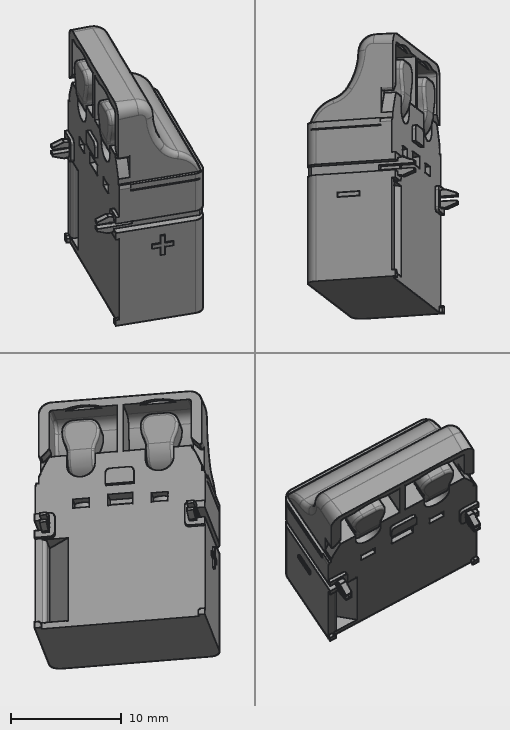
import cadquery as cq
import math

cut_overlap = 0.23
cut_tolerance = 0.0001

total_height = 22.8
depth = 8.16
half_width = 7.8
body_top = 14.73
back_radius = 1.0

hood_half_width = 7.48
hood_wall = 0.82
hood_front_rounding = 1.2
hood_base_rounding = 0.32
crown_radius = 1.62
crown_depth = 3.49
waist = (4.42, 18.0)
shoulder_start = (5.75, 16.96)
hood_base_depth = 7.85

cavity_half_width = 6.5
cavity_corner_radius = 0.3
inner_crown = 0.98
inner_waist = (3.75, 17.75)
cavity_floor_depth = 4.05
plate_top = 17.3
scallop_offset = 3.4
scallop_half_width = 1.65
scallop_height = 0.27
scallop_depth = 0.35
plate_thickness = 1.1
plate_arc_end = 14.39
plate_arc_middle = (-7.1, 16.19)
rib_width = 0.55
frame_bottom = 17.33
frame_arc_end = 18.13
frame_side_bottom = 17.55
frame_corner_middle = (-7.4, 17.4)
frame_arc_side = 7.25
frame_arc_middle = (-6.9, 17.65)
seam_height = 14.05
seam_width = 0.07
seam_depth = 0.11

cup_spacing = 7.2
cup_stem_radius = 1.25
cup_head_half_width = 1.73
cup_arc_center = 16.35
cup_stem_top = 17.53
cup_flare_half_width = 1.57
cup_flare_height = 18.7
cup_head_widest = 19.75
cup_top = 20.8
cup_front = -0.23
cup_back = 1.82
cup_edge_radius = 0.27
cup_bend_start = 17.74
cup_bend_radius = 2.85
cup_slot_depth = 1.37
cup_slot_clearance = 0.05

pad_height = 0.32
center_pad_half_width = 1.3
center_pad_bottom = 13.95
center_pad_top = 15.5
pad_corner_radius = 0.4
side_pad_width = 1.85
side_pad_bottom = 9.12
side_pad_top = 11.5
foot_size = 0.62
foot_chamfer = 0.2

window_bottom = 11.95
barrel_window_width = 1.5
barrel_window_top = 12.84
barrel_axis_depth = 2.05
barrel_radius = 1.28
barrel_neck_radius = 1.2
barrel_step = 12.27
latch_window_width = 2.25
latch_window_top = 13.05
latch_depth = 1.15
latch_edge = 12.56
latch_slope_depth = 1.6

groove_bottom = 9.83
groove_top = 10.8
groove_floor = 7.05
groove_bevel_start = 7.8
groove_bevel = depth - groove_bevel_start
pin_width = 0.62
pin_tip = -1.85
pin_barb = -0.8
pin_center = (groove_bottom + groove_top) / 2
pin_root_half = 0.78
pin_barb_half = 0.87
pin_tip_half = 0.48
pin_slot_half = 0.23
pin_slot_end = 1.45
pin_slot_radius = 0.11

relief_lip = 0.39
relief_valley = -6.77
relief_right = -4.77
relief_bottom = 0.62
relief_top = 8.98
relief_depth = 1.78

mark_height = (15.9 - 2 * half_width) / 2
mark_length = 2.03
mark_width = 0.4
mark_depth = 4.05
mark_level = 7.85


def block(x0, x1, y0, y1, z0, z1):
    return cq.Workplane("XY").box(x1 - x0, y1 - y0, z1 - z0, centered=False).translate((x0, y0, z0))


def front_sketch(y):
    """Workplane facing -Y at depth y: local x is X, local y is Z."""
    return cq.Workplane(cq.Plane(origin=(0, y, 0), xDir=(1, 0, 0), normal=(0, -1, 0)))


def side_sketch(x):
    """Workplane facing +X at the given x: local x is Y, local y is Z."""
    return cq.Workplane("YZ", origin=(x, 0, 0))


def both_sides(shape):
    return shape.union(shape.mirror("YZ"))


def hood_curve(x):
    """S-shaped line from the top front of the hood down its back, at the given x."""
    crown_center = (crown_depth - crown_radius, total_height - crown_radius)
    diagonal = crown_radius * math.sqrt(0.5)
    crown_middle = (crown_center[0] + diagonal, crown_center[1] + diagonal)
    return (
        side_sketch(x)
        .moveTo(0, total_height)
        .lineTo(crown_center[0], total_height)
        .threePointArc(crown_middle, (crown_depth, crown_center[1]))
        .tangentArcPoint(waist, relative=False)
        .tangentArcPoint(shoulder_start, relative=False)
        .tangentArcPoint((hood_base_depth, body_top), relative=False)
    )


def edge_waste(path, place, radius):
    """Wire around the material outside a rounded corner, square to the path at place 0 or 1."""
    middle = radius * (1 - math.sqrt(0.5))
    plane = cq.Plane(origin=path.positionAt(place), xDir=(1, 0, 0), normal=path.tangentAt(place))
    section = (
        cq.Workplane(plane)
        .moveTo(radius, 0)
        .threePointArc((middle, middle), (0, radius))
        .lineTo(-cut_overlap, radius)
        .lineTo(-cut_overlap, -cut_overlap)
        .lineTo(radius, -cut_overlap)
        .close()
    )
    return section.wire().val()


def hood_edge_cut():
    """Tapered rounding of the hood's -X edge, from wide at the front to narrow at the base."""
    curve = hood_curve(-hood_half_width).wire().val()
    start = curve.positionAt(0)
    lead_in = cq.Edge.makeLine(start - cq.Vector(0, cut_overlap, 0), start)
    path = cq.Wire.assembleEdges([lead_in] + curve.Edges())
    sections = [edge_waste(path, 0, hood_front_rounding), edge_waste(path, 1, hood_base_rounding)]
    return cq.Workplane(obj=cq.Solid.sweep_multi(sections, path))


def make_hood():
    outline = hood_curve(-hood_half_width).lineTo(0, body_top).close()
    hood = outline.extrude(2 * hood_half_width)
    edge_cut = hood_edge_cut()
    hood = hood.cut(edge_cut, tol=cut_tolerance).cut(edge_cut.mirror("YZ"), tol=cut_tolerance)
    return hood.cut(make_cavity())


def make_cavity():
    """Space behind the frame, following the hood's skin, split by the middle rib."""
    ceiling = total_height - hood_wall
    crown_y = crown_depth - crown_radius
    crown_z = ceiling - inner_crown
    diagonal = inner_crown * math.sqrt(0.5)
    cavity = (
        side_sketch(-cavity_half_width)
        .moveTo(0, plate_top)
        .lineTo(0, ceiling)
        .lineTo(crown_y, ceiling)
        .threePointArc((crown_y + diagonal, crown_z + diagonal), (crown_y + inner_crown, crown_z))
        .tangentArcPoint(inner_waist, relative=False)
        .tangentArcPoint((cavity_floor_depth, plate_top), relative=False)
        .close()
        .extrude(2 * cavity_half_width)
    )
    cavity = cavity.faces("<X or >X").edges("not(<Y or <Z)").fillet(cavity_corner_radius)
    rib = block(-rib_width / 2, rib_width / 2, 0, depth, plate_top, total_height)
    return cavity.cut(rib)


def make_body():
    body = block(-half_width, half_width, 0, depth, 0, body_top)
    body = body.edges("|Z and >Y").fillet(back_radius)
    return body.union(block(-cavity_half_width, cavity_half_width, 0, plate_thickness, 0, plate_top))


def scallop_cut():
    """Shallow arched relief in the top of the frame over one cup, centered on X = 0."""
    ceiling = total_height - hood_wall
    return (
        front_sketch(scallop_depth)
        .moveTo(-scallop_half_width, ceiling)
        .threePointArc((0, ceiling + scallop_height), (scallop_half_width, ceiling))
        .close()
        .extrude(scallop_depth)
    )


def shoulder_cut():
    """Gap on the -X side between the rounded front plate and the hood's frame."""
    return (
        front_sketch(plate_thickness)
        .moveTo(-half_width, plate_arc_end)
        .threePointArc(plate_arc_middle, (-cavity_half_width, plate_top))
        .lineTo(-cavity_half_width, frame_arc_end)
        .threePointArc(frame_arc_middle, (-frame_arc_side, frame_bottom))
        .threePointArc(frame_corner_middle, (-hood_half_width, frame_side_bottom))
        .lineTo(-half_width, frame_side_bottom)
        .close()
        .extrude(plate_thickness)
    )


def seam_cut():
    """Shallow seam between body and hood on the -X side."""
    seam_floor = seam_depth - half_width
    return block(-half_width, seam_floor, plate_thickness, depth, seam_height, seam_height + seam_width)


def cup_outline(workplane):
    """Keyhole outline of one solder cup, centered on X = 0."""
    corner = cup_top - cup_head_widest
    top_half = cup_head_half_width - corner
    rounding = corner * (1 - math.sqrt(0.5))
    corner_x = cup_head_half_width - rounding
    corner_z = cup_top - rounding
    flare_middle = (cup_flare_half_width, cup_flare_height)
    flare_top = (cup_head_half_width, cup_head_widest)
    return (
        workplane.moveTo(-cup_stem_radius, cup_arc_center)
        .threePointArc((0, cup_arc_center - cup_stem_radius), (cup_stem_radius, cup_arc_center))
        .lineTo(cup_stem_radius, cup_stem_top)
        .spline([flare_middle, flare_top], tangents=[(0, 1), (0, 1)], includeCurrent=True)
        .threePointArc((corner_x, corner_z), (top_half, cup_top))
        .lineTo(-top_half, cup_top)
        .threePointArc((-corner_x, corner_z), (-cup_head_half_width, cup_head_widest))
        .spline(
            [(-flare_middle[0], flare_middle[1]), (-cup_stem_radius, cup_stem_top)],
            tangents=[(0, -1), (0, -1)],
            includeCurrent=True,
        )
        .close()
    )


def make_cup():
    """Solder cup with its lower front bent back into the plate."""
    cup = cup_outline(front_sketch(cup_back)).extrude(cup_back - cup_front)
    bend_foot = cup_arc_center - cup_stem_radius
    drop = cup_bend_start - bend_foot
    bend_y = cup_front + cup_bend_radius
    foot_y = bend_y - math.sqrt(cup_bend_radius**2 - drop**2)
    middle_angle = math.asin(drop / cup_bend_radius) / 2
    middle_y = bend_y - cup_bend_radius * math.cos(middle_angle)
    middle_z = cup_bend_start - cup_bend_radius * math.sin(middle_angle)
    bend = (
        side_sketch(-cup_head_half_width)
        .moveTo(cup_front, bend_foot)
        .lineTo(cup_front, cup_bend_start)
        .threePointArc((middle_y, middle_z), (foot_y, bend_foot))
        .close()
        .extrude(2 * cup_head_half_width)
    )
    cup = cup.cut(bend)
    return cup.faces("<Y").edges("not <Z").fillet(cup_edge_radius)


def cup_slot():
    """Round-bottomed slot in the plate, slightly wider than the stem of the cup in it."""
    radius = cup_stem_radius + cup_slot_clearance
    slot = block(-radius, radius, 0, cup_slot_depth, cup_arc_center, plate_top)
    round_end = front_sketch(cup_slot_depth).center(0, cup_arc_center).circle(radius).extrude(cup_slot_depth)
    return slot.union(round_end)


def make_pads():
    """Raised pads that hold the mounting face off the board."""
    half = center_pad_half_width
    center = block(-half, half, -pad_height, 0, center_pad_bottom, center_pad_top)
    center = center.edges("|Y and >Z").fillet(pad_corner_radius)
    side = block(-half_width, side_pad_width - half_width, -pad_height, 0, side_pad_bottom, side_pad_top)
    side = side.edges("|Y and >X").fillet(pad_corner_radius)
    foot = block(-half_width, foot_size - half_width, -pad_height, 0, 0, foot_size)
    foot = foot.edges("|Y and >X and >Z").chamfer(foot_chamfer)
    return center.union(both_sides(side)).union(both_sides(foot))


def groove_cut():
    """Groove around the -X side, beveled where it runs out at the back corner."""
    return (
        cq.Workplane("XY", origin=(0, 0, groove_bottom))
        .moveTo(-half_width, -pad_height)
        .lineTo(-groove_floor, -pad_height)
        .lineTo(-groove_floor, groove_bevel_start)
        .lineTo(groove_bevel - groove_floor, depth)
        .lineTo(-half_width, depth)
        .close()
        .extrude(groove_top - groove_bottom)
    )


def make_pin():
    """Board lock on the -X side, before it is split into two prongs."""
    return (
        side_sketch(-groove_floor)
        .moveTo(0, pin_center - pin_root_half)
        .lineTo(-pad_height, pin_center - pin_root_half)
        .lineTo(pin_barb, pin_center - pin_barb_half)
        .lineTo(pin_tip, pin_center - pin_tip_half)
        .lineTo(pin_tip, pin_center + pin_tip_half)
        .lineTo(pin_barb, pin_center + pin_barb_half)
        .lineTo(-pad_height, pin_center + pin_root_half)
        .lineTo(0, pin_center + pin_root_half)
        .close()
        .extrude(pin_width)
    )


def pin_slot():
    """Slot that splits the pin and runs on into the floor of the groove."""
    pin_side = pin_width - groove_floor
    slot_bottom = pin_center - pin_slot_half
    slot_top = pin_center + pin_slot_half
    slot = block(-groove_floor, pin_side, pin_tip, pin_slot_end, slot_bottom, slot_top)
    return slot.edges("|X and >Y").fillet(pin_slot_radius)


def barrel_window():
    """Window centered on X = 0 that bares a stepped, upright contact barrel."""
    half = barrel_window_width / 2
    window = block(-half, half, 0, barrel_axis_depth, window_bottom, barrel_window_top)
    for radius, bottom in ((barrel_radius, barrel_step), (barrel_neck_radius, window_bottom)):
        barrel = cq.Workplane("XY", origin=(0, barrel_axis_depth, bottom)).circle(radius)
        window = window.cut(barrel.extrude(barrel_window_top - bottom))
    return window


def latch_window():
    """Middle window whose inner face slopes away below an edge."""
    return (
        side_sketch(-latch_window_width / 2)
        .moveTo(0, window_bottom)
        .lineTo(latch_slope_depth, window_bottom)
        .lineTo(latch_depth, latch_edge)
        .lineTo(latch_depth, latch_window_top)
        .lineTo(0, latch_window_top)
        .close()
        .extrude(latch_window_width)
    )


def relief_cut():
    """V-shaped relief: rounded lip, steep left wall and sloped right wall."""
    rounding = relief_lip * (1 - math.sqrt(0.5))
    lip_middle = (relief_valley - rounding, rounding)
    return (
        cq.Workplane("XY", origin=(0, 0, relief_bottom))
        .moveTo(relief_valley - relief_lip, 0)
        .threePointArc(lip_middle, (relief_valley, relief_lip))
        .lineTo(relief_valley, relief_depth)
        .lineTo(relief_right, 0)
        .close()
        .extrude(relief_top - relief_bottom)
    )


def polarity_marks():
    """Minus on the -X side, plus on the +X side."""
    reach = half_width + mark_height
    long_half = mark_length / 2
    short_half = mark_width / 2
    bar_y = (mark_depth - long_half, mark_depth + long_half)
    bar_z = (mark_level - short_half, mark_level + short_half)
    minus = block(-reach, -half_width, *bar_y, *bar_z)
    plus = block(half_width, reach, *bar_y, *bar_z)
    upright_y = (mark_depth - short_half, mark_depth + short_half)
    upright_z = (mark_level - long_half, mark_level + long_half)
    return minus.union(plus).union(block(half_width, reach, *upright_y, *upright_z))


part = make_body().union(make_hood())
part = part.cut(both_sides(shoulder_cut()))
part = part.cut(both_sides(seam_cut()))
part = part.union(make_pads())
part = part.cut(both_sides(groove_cut()))
part = part.union(both_sides(make_pin()))
part = part.cut(both_sides(pin_slot()))
part = part.cut(latch_window()).cut(relief_cut()).union(polarity_marks())

for cup_x in (-cup_spacing / 2, cup_spacing / 2):
    part = part.cut(cup_slot().translate((cup_x, 0, 0)))
    part = part.union(make_cup().translate((cup_x, 0, 0)))
    part = part.cut(barrel_window().translate((cup_x, 0, 0)))
for scallop_x in (-scallop_offset, scallop_offset):
    part = part.cut(scallop_cut().translate((scallop_x, 0, 0)))

result = part